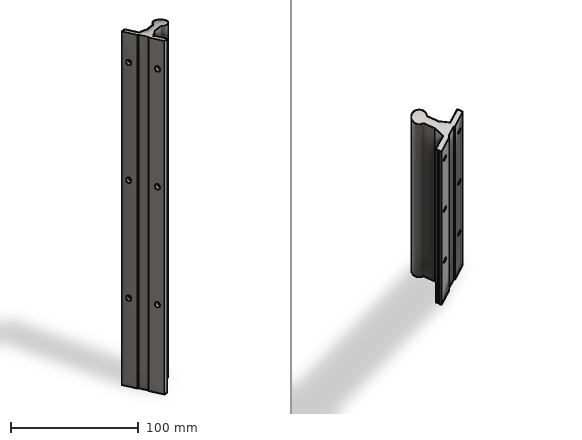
import cadquery as cq
import math

length = 304.8
flange_width = 38.0
flange_thickness = 5.0
rail_height = 35.0

head_diameter = 12.5
neck_half_width = 3.5
head_fillet_radius = 1.5
flare_top = 13.5
flare_half_width = 6.5

relief_depth = 1.0
relief_outer_half_width = 5.2
relief_inner_half_width = 4.3

groove_width = 1.8
groove_depth = 0.3

hole_diameter = 4.5
hole_half_spacing = 12.8
hole_pitch = length / 3
top_hole_inset = hole_pitch / 4
hole_rows = 3

flange_half_width = flange_width / 2
head_radius = head_diameter / 2
head_center = rail_height - head_radius
neck_top = head_center - math.sqrt(head_radius**2 - neck_half_width**2)


def make_rail():
    """Extrude the symmetric section and blend the head into the neck."""
    rail = (
        cq.Workplane("XY")
        .moveTo(-flange_half_width, 0)
        .lineTo(-relief_outer_half_width, 0)
        .lineTo(-relief_inner_half_width, relief_depth)
        .lineTo(relief_inner_half_width, relief_depth)
        .lineTo(relief_outer_half_width, 0)
        .lineTo(flange_half_width, 0)
        .lineTo(flange_half_width, flange_thickness)
        .lineTo(flare_half_width, flange_thickness)
        .lineTo(neck_half_width, flare_top)
        .lineTo(neck_half_width, neck_top)
        .threePointArc((0, rail_height), (-neck_half_width, neck_top))
        .lineTo(-neck_half_width, flare_top)
        .lineTo(-flare_half_width, flange_thickness)
        .lineTo(-flange_half_width, flange_thickness)
        .close()
        .extrude(length)
    )
    for side in (-1, 1):
        junction = (side * neck_half_width, neck_top, length / 2)
        rail = rail.edges(cq.NearestToPointSelector(junction)).fillet(head_fillet_radius)
    return rail


def make_edge_groove():
    """Triangular prism that cuts the V groove."""
    groove_center = flange_thickness / 2
    return (
        cq.Workplane("XY")
        .moveTo(-flange_half_width, groove_center - groove_width / 2)
        .lineTo(-flange_half_width + groove_depth, groove_center)
        .lineTo(-flange_half_width, groove_center + groove_width / 2)
        .close()
        .extrude(length)
    )


def make_holes():
    """Cylinders through the flange along Y."""
    centers = [
        (side * hole_half_spacing, length - top_hole_inset - row * hole_pitch)
        for side in (-1, 1)
        for row in range(hole_rows)
    ]
    return (
        cq.Workplane("XZ")
        .pushPoints(centers)
        .circle(hole_diameter / 2)
        .extrude(-flange_thickness)
    )


result = make_rail().cut(make_edge_groove()).cut(make_holes())